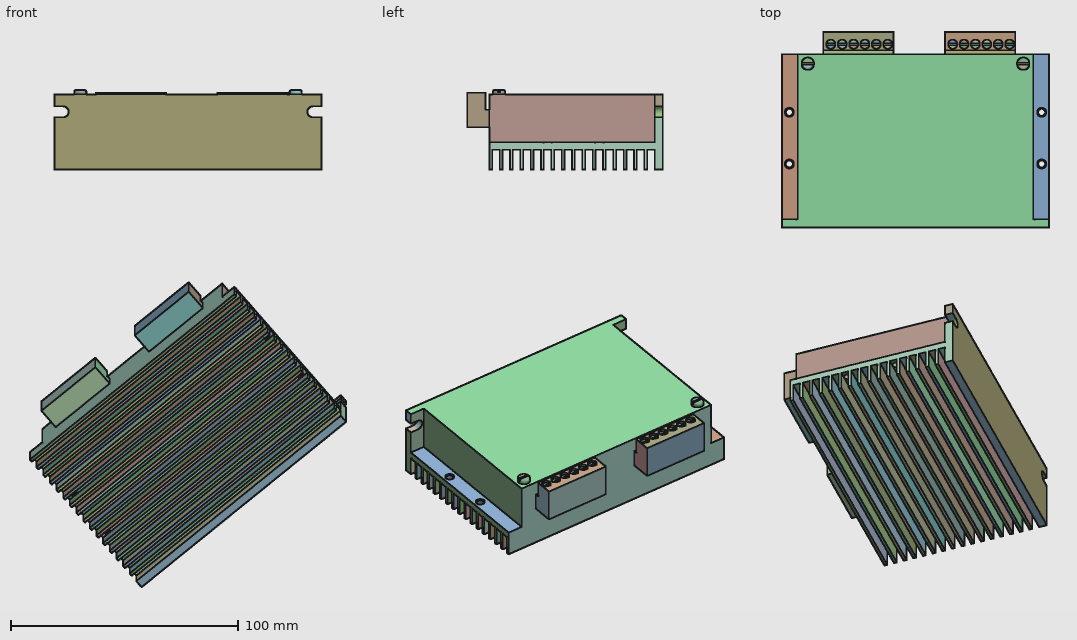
import cadquery as cq
import math

LENGTH = 117.5
DEPTH = 76.3
HEIGHT = 33.0
FLANGE_THICKNESS = 3.6
LEDGE_WIDTH = 7.0
LEDGE_HEIGHT = 12.0

FIN_HEIGHT = 8.7
GROOVE_WIDTH = 3.2
GROOVE_COUNT = 16
BACK_FIN_THICKNESS = 1.3
FIRST_GROOVE_Y = FLANGE_THICKNESS + GROOVE_WIDTH / 2
LAST_GROOVE_Y = DEPTH - BACK_FIN_THICKNESS - GROOVE_WIDTH / 2
GROOVE_PITCH = (LAST_GROOVE_Y - FIRST_GROOVE_Y) / (GROOVE_COUNT - 1)

FLANGE_SLOT_WIDTH = 4.7
FLANGE_SLOT_DEPTH = 6.2
FLANGE_SLOT_Z = 25.4

LEDGE_HOLE_DIAMETER = 3.0
LEDGE_HOLE_RIM_DIAMETER = 4.0
LEDGE_HOLE_INSET = 3.3
LEDGE_HOLE_GROOVES = (5, 10)

SCREW_DIAMETER = 5.5
SCREW_FLAT_DIAMETER = 3.6
SCREW_HEIGHT = 2.0
SCREW_DOME_HEIGHT = 0.8
SCREW_SLOT_WIDTH = 0.8
SCREW_SLOT_DEPTH = 0.8
SCREW_INSET_X = 11.4
SCREW_INSET_Y = 4.2

TERMINAL_LEFT_ENDS = (18.1, 71.7)
TERMINAL_LENGTH = 31.0
TERMINAL_DEPTH = 9.8
TERMINAL_BOTTOM = 18.6
TERMINAL_TOP = 33.8
TERMINAL_STEP_DEPTH = 1.6
TERMINAL_STEP_Z = 26.3

CLAMP_COUNT = 6
CLAMP_SPAN = 25.0
CLAMP_DIAMETER = 4.0
CLAMP_RECESS = 1.0
CLAMP_SLOT_WIDTH = 0.8
CLAMP_SLOT_DEPTH = 0.8
FIRST_CLAMP_X = 3.4
CLAMP_PITCH = CLAMP_SPAN / (CLAMP_COUNT - 1)
CLAMP_FROM_BACK = 5.4


def box(x_range, y_range, z_range):
    """Axis-aligned block between the given limits."""
    size = [high - low for low, high in (x_range, y_range, z_range)]
    corner = (x_range[0], y_range[0], z_range[0])
    return cq.Workplane("XY").box(*size, centered=False).translate(corner)


def make_heatsink():
    """Base, flange and electronics housing, with the fin grooves cut from below."""
    base = box((0, LENGTH), (0, DEPTH), (0, LEDGE_HEIGHT))
    flange = box((0, LENGTH), (0, FLANGE_THICKNESS), (0, HEIGHT))
    housing = box((LEDGE_WIDTH, LENGTH - LEDGE_WIDTH), (0, DEPTH), (0, HEIGHT))
    body = base.union(flange).union(housing)
    for i in range(GROOVE_COUNT):
        start = FLANGE_THICKNESS + i * GROOVE_PITCH
        groove = box((0, LENGTH), (start, start + GROOVE_WIDTH), (0, FIN_HEIGHT))
        body = body.cut(groove)
    return body


def make_flange_slots():
    """Round-ended cutters that open at both ends of the flange."""
    slot_length = 2 * FLANGE_SLOT_DEPTH
    return (
        cq.Workplane("XZ")
        .pushPoints([(0, FLANGE_SLOT_Z), (LENGTH, FLANGE_SLOT_Z)])
        .slot2D(slot_length, FLANGE_SLOT_WIDTH)
        .extrude(-FLANGE_THICKNESS)
    )


def make_ledge_holes():
    """Cutters for the through holes with a 45 degree countersink."""
    bore_radius = LEDGE_HOLE_DIAMETER / 2
    rim_radius = LEDGE_HOLE_RIM_DIAMETER / 2
    countersink_bottom = LEDGE_HEIGHT - (rim_radius - bore_radius)
    cutter = (
        cq.Workplane("XZ")
        .polyline([
            (0, 0),
            (bore_radius, 0),
            (bore_radius, countersink_bottom),
            (rim_radius, LEDGE_HEIGHT),
            (0, LEDGE_HEIGHT),
        ])
        .close()
        .revolve(360, (0, 0), (0, 1))
    )
    holes = cq.Workplane("XY")
    for groove in LEDGE_HOLE_GROOVES:
        y = LAST_GROOVE_Y - groove * GROOVE_PITCH
        for x in (LEDGE_HOLE_INSET, LENGTH - LEDGE_HOLE_INSET):
            holes = holes.union(cutter.translate((x, y, 0)))
    return holes


def make_cover_screw():
    """Domed screw head with a straight slot, seated on Z = 0."""
    radius = SCREW_DIAMETER / 2
    flat_radius = SCREW_FLAT_DIAMETER / 2
    run = radius - flat_radius
    dome_radius = (run**2 + SCREW_DOME_HEIGHT**2) / (2 * SCREW_DOME_HEIGHT)
    half_angle = math.asin(run / dome_radius) / 2
    dome_middle = (
        flat_radius + dome_radius * math.sin(half_angle),
        SCREW_HEIGHT - dome_radius * (1 - math.cos(half_angle)),
    )
    head = (
        cq.Workplane("XZ")
        .lineTo(radius, 0)
        .lineTo(radius, SCREW_HEIGHT - SCREW_DOME_HEIGHT)
        .threePointArc(dome_middle, (flat_radius, SCREW_HEIGHT))
        .lineTo(0, SCREW_HEIGHT)
        .close()
        .revolve(360, (0, 0), (0, 1))
    )
    slot = box(
        (-radius, radius),
        (-SCREW_SLOT_WIDTH / 2, SCREW_SLOT_WIDTH / 2),
        (SCREW_HEIGHT - SCREW_SLOT_DEPTH, SCREW_HEIGHT),
    )
    return head.cut(slot)


def make_clamp_recess():
    """Cutter for one sunken clamp screw: a round recess with a slot in its floor."""
    radius = CLAMP_DIAMETER / 2
    slot_bottom = CLAMP_RECESS + CLAMP_SLOT_DEPTH
    recess = cq.Workplane("XY").circle(radius).extrude(-CLAMP_RECESS)
    slot = box(
        (-radius, radius),
        (-CLAMP_SLOT_WIDTH / 2, CLAMP_SLOT_WIDTH / 2),
        (-slot_bottom, 0),
    )
    slot = slot.intersect(cq.Workplane("XY").circle(radius).extrude(-slot_bottom))
    return recess.union(slot)


def make_terminal_block():
    """Stepped block with its left end at X = 0, standing on the housing's back face."""
    back = DEPTH + TERMINAL_DEPTH
    step_y = DEPTH + TERMINAL_STEP_DEPTH
    block = box((0, TERMINAL_LENGTH), (DEPTH, back), (TERMINAL_BOTTOM, TERMINAL_TOP))
    step = box((0, TERMINAL_LENGTH), (DEPTH, step_y), (TERMINAL_STEP_Z, TERMINAL_TOP))
    block = block.cut(step)
    clamp = make_clamp_recess()
    for i in range(CLAMP_COUNT):
        x = FIRST_CLAMP_X + i * CLAMP_PITCH
        block = block.cut(clamp.translate((x, back - CLAMP_FROM_BACK, TERMINAL_TOP)))
    return block


result = make_heatsink().cut(make_flange_slots()).cut(make_ledge_holes())

cover_screw = make_cover_screw()
for screw_x in (SCREW_INSET_X, LENGTH - SCREW_INSET_X):
    result = result.union(cover_screw.translate((screw_x, DEPTH - SCREW_INSET_Y, HEIGHT)))

terminal_block = make_terminal_block()
for left_end in TERMINAL_LEFT_ENDS:
    result = result.union(terminal_block.translate((left_end, 0, 0)))